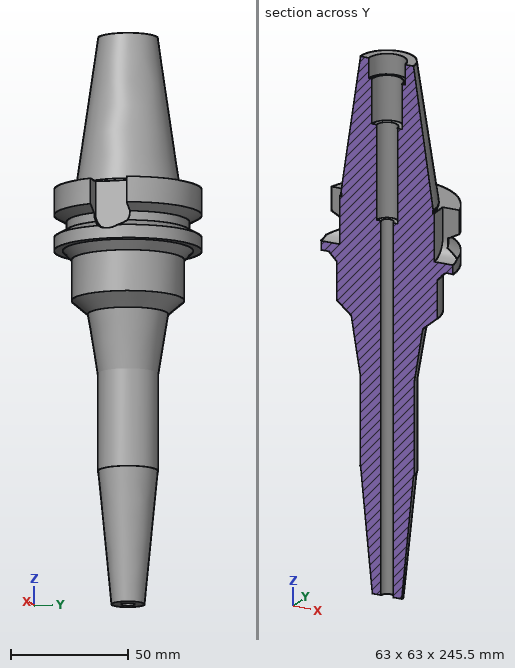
import cadquery as cq

total_length = 245.5

tip_radius = 7.0
nose_base_radius = 12.8
nose_length = 57.7
stem_radius = 13.0
stem_length = 42.2
neck_top_radius = 17.2
neck_length = 25.8
body_radius = 24.0
body_cone_length = 6.0
body_length = 17.7

flange_diameter = 63.0
flange_radius = flange_diameter / 2
flange_thickness = 26.5
lower_rim_thickness = 5.6
lower_rim_inset = 3.7
groove_radius = 26.3
groove_floor_width = 4.0
groove_flank_height = 3.0

taper_length = 64.8
taper_top_radius = 12.8
taper_rate = 7 / 24
taper_base_radius = taper_top_radius + taper_length * taper_rate / 2
relief_radius = 21.8
relief_height = 1.0

slot_width = 16.0
slot_depth = 22.0
slot_floor_offset = 22.5

pilot_radius = 8.5
pilot_depth = 9.3
thread_radius = 7.0
thread_depth = 30.0
relief_bore_radius = 5.0
relief_bore_depth = 73.5
through_radius = 3.0

stem_top = nose_length + stem_length
neck_top = stem_top + neck_length
body_bottom = neck_top + body_cone_length
body_top = body_bottom + body_length
flange_top = total_length - taper_length - relief_height
flange_bottom = flange_top - flange_thickness
lower_rim_top = flange_bottom + lower_rim_thickness
groove_floor_bottom = lower_rim_top + groove_flank_height
groove_floor_top = groove_floor_bottom + groove_floor_width
upper_rim_bottom = groove_floor_top + groove_flank_height


def revolved_body():
    """Solid of revolution, from the tip up to the top of the taper."""
    profile = [
        (0, 0),
        (tip_radius, 0),
        (nose_base_radius, nose_length),
        (stem_radius, nose_length),
        (stem_radius, stem_top),
        (neck_top_radius, neck_top),
        (body_radius, body_bottom),
        (body_radius, body_top),
        (flange_radius - lower_rim_inset, flange_bottom),
        (flange_radius, flange_bottom),
        (flange_radius, lower_rim_top),
        (groove_radius, groove_floor_bottom),
        (groove_radius, groove_floor_top),
        (flange_radius, upper_rim_bottom),
        (flange_radius, flange_top),
        (relief_radius, flange_top),
        (relief_radius, flange_top + relief_height),
        (taper_base_radius, flange_top + relief_height),
        (taper_top_radius, total_length),
        (0, total_length),
    ]
    return cq.Workplane("XZ").polyline(profile).close().revolve(360, (0, 0), (0, 1))


def drive_slot(side):
    """Round-bottomed slot cutter; side is -1 for -X and +1 for +X."""
    round_centre = flange_top - slot_depth + slot_width / 2
    half_width = slot_width / 2
    return (
        cq.Workplane("YZ", origin=(side * slot_floor_offset, 0, 0))
        .moveTo(-half_width, flange_top)
        .lineTo(-half_width, round_centre)
        .threePointArc((0, flange_top - slot_depth), (half_width, round_centre))
        .lineTo(half_width, flange_top)
        .close()
        .extrude(side * flange_radius)
    )


def bore(radius, depth):
    """Cylindrical cutter reaching down from the top face."""
    return cq.Workplane("XY", origin=(0, 0, total_length)).circle(radius).extrude(-depth)


result = revolved_body()
for side in (-1, 1):
    result = result.cut(drive_slot(side))

bore_steps = [
    (pilot_radius, pilot_depth),
    (thread_radius, thread_depth),
    (relief_bore_radius, relief_bore_depth),
    (through_radius, total_length),
]
for radius, depth in bore_steps:
    result = result.cut(bore(radius, depth))